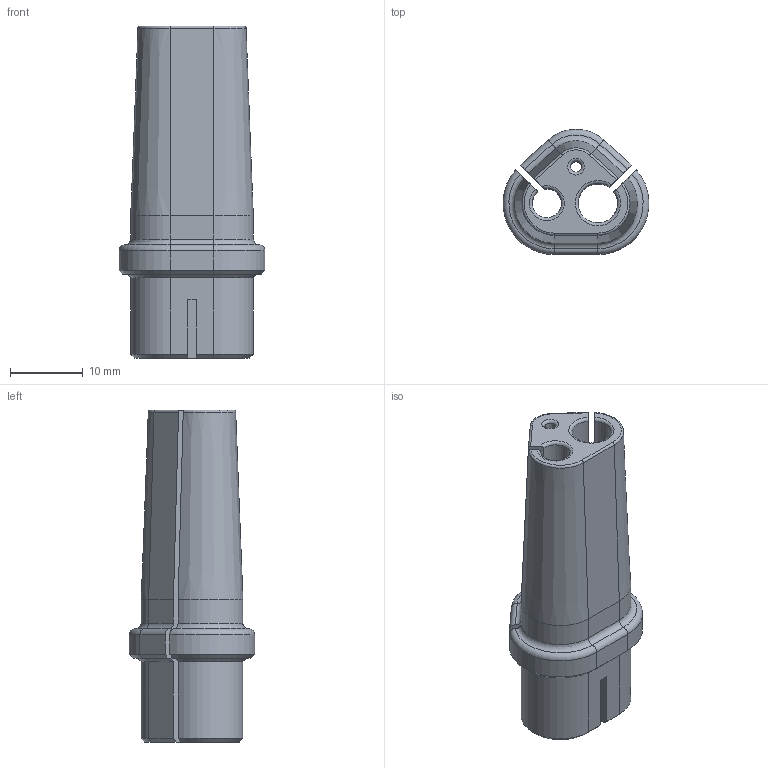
import cadquery as cq
import math

TOTAL_HEIGHT = 45.5
FLANGE_BOTTOM = 11.5
FLANGE_TOP = 15.5
TAPER_START = 19.5

LOW_CENTER_X = 3.0
APEX_CENTER_Y = 4.5
BODY_LOW_RADIUS = 5.4
FLANGE_OVERHANG = 1.6
FLANGE_LENGTH_Y = 17.18
FLANGE_LOW_RADIUS = BODY_LOW_RADIUS + FLANGE_OVERHANG
BODY_APEX_RADIUS = FLANGE_LENGTH_Y - FLANGE_LOW_RADIUS - APEX_CENTER_Y - FLANGE_OVERHANG
TAPER_INSET = 1.0

BASE_CHAMFER = 0.5
FLANGE_CHAMFER = 0.5
LOWER_ROOT_CHAMFER = 0.5
FLANGE_FILLET = 0.8
UPPER_ROOT_FILLET = FLANGE_OVERHANG - FLANGE_FILLET
TOP_FILLET = 0.3
HOLE_FILLET = 0.4

SMALL_BORE = (-4.0, 0.0, 4.0)
LARGE_BORE = (LOW_CENTER_X, 0.0, 5.4)
PIN_HOLE = (0.0, 5.0, 1.5)

SLIT_WIDTH = 0.9
SLIT_ANGLE = 45.0
SLIT_LENGTH = 12.0
KEYWAY_WIDTH = 1.2
KEYWAY_HEIGHT = 8.0
KEYWAY_DEPTH = 1.5

CENTER_DISTANCE = math.hypot(LOW_CENTER_X, APEX_CENTER_Y)
FLANK_NORMAL = math.atan2(LOW_CENTER_X, APEX_CENTER_Y) + math.asin(
    (BODY_LOW_RADIUS - BODY_APEX_RADIUS) / CENTER_DISTANCE
)


def outline(z, offset=0.0):
    """Closed body outline at height z, grown outward by offset."""
    low_radius = BODY_LOW_RADIUS + offset
    apex_radius = BODY_APEX_RADIUS + offset
    normal_x = math.cos(FLANK_NORMAL)
    normal_y = math.sin(FLANK_NORMAL)
    low_x = LOW_CENTER_X + low_radius * normal_x
    low_y = low_radius * normal_y
    apex_x = apex_radius * normal_x
    apex_y = APEX_CENTER_Y + apex_radius * normal_y
    side_x = LOW_CENTER_X + low_radius
    return (
        cq.Workplane("XY", origin=(0, 0, z))
        .moveTo(-LOW_CENTER_X, -low_radius)
        .lineTo(LOW_CENTER_X, -low_radius)
        .threePointArc((side_x, 0), (low_x, low_y))
        .lineTo(apex_x, apex_y)
        .threePointArc((0, APEX_CENTER_Y + apex_radius), (-apex_x, apex_y))
        .lineTo(-low_x, low_y)
        .threePointArc((-side_x, 0), (-LOW_CENTER_X, -low_radius))
        .close()
    )


def frustum(z_start, z_end, offset_start, offset_end):
    """Solid between two outlines of different offset."""
    start = outline(z_start, offset_start).wires().val()
    end = outline(z_end, offset_end).wires().val()
    return cq.Workplane(cq.Solid.makeLoft([start, end], True))


def make_body():
    """Chamfered foot, straight shank and tapered upper length."""
    foot = frustum(0, BASE_CHAMFER, -BASE_CHAMFER, 0)
    shank = outline(BASE_CHAMFER).extrude(TAPER_START - BASE_CHAMFER)
    taper = frustum(TAPER_START, TOTAL_HEIGHT, 0, -TAPER_INSET)
    taper = taper.faces(">Z").edges().fillet(TOP_FILLET)
    return foot.union(shank).union(taper)


def make_flange():
    """Collar around the shank, rounded above and chamfered below."""
    collar = outline(FLANGE_BOTTOM, FLANGE_OVERHANG).extrude(FLANGE_TOP - FLANGE_BOTTOM)
    collar = collar.faces(">Z").edges().fillet(FLANGE_FILLET)
    return collar.faces("<Z").edges().chamfer(FLANGE_CHAMFER)


def make_upper_root():
    """Concave fillet that runs from the shank into the rounded top of the flange."""
    plate = outline(FLANGE_BOTTOM, FLANGE_OVERHANG).extrude(FLANGE_TOP - FLANGE_BOTTOM)
    stepped = plate.union(outline(FLANGE_TOP).extrude(TAPER_START - FLANGE_TOP))
    shelf_point = (0, -FLANGE_LOW_RADIUS, FLANGE_TOP)
    shelf = stepped.faces("|Z").faces(cq.selectors.NearestToPointSelector(shelf_point)).val()
    junction = shelf.innerWires()[0].Edges()
    filleted = stepped.newObject(junction).fillet(UPPER_ROOT_FILLET)
    column_base = FLANGE_TOP - FLANGE_FILLET
    column = outline(column_base, UPPER_ROOT_FILLET).extrude(TAPER_START - column_base)
    return filleted.intersect(column)


def make_lower_root():
    """Sloped transition from the shank up to the underside of the flange."""
    return frustum(FLANGE_BOTTOM - LOWER_ROOT_CHAMFER, FLANGE_BOTTOM, 0, LOWER_ROOT_CHAMFER)


def add_holes(solid):
    """Drill the lengthwise holes and round their upper mouths."""
    for x, y, diameter in (SMALL_BORE, LARGE_BORE, PIN_HOLE):
        drill = cq.Workplane("XY").center(x, y).circle(diameter / 2).extrude(TOTAL_HEIGHT)
        solid = solid.cut(drill)
    top_face = solid.faces(">Z").val()
    mouths = [edge for wire in top_face.innerWires() for edge in wire.Edges()]
    return solid.newObject(mouths).fillet(HOLE_FILLET)


def make_slit(side):
    """Full-height slit running outward from a low centre; side is -1 or +1."""
    return (
        cq.Workplane("XY")
        .box(SLIT_LENGTH, SLIT_WIDTH, TOTAL_HEIGHT, centered=(False, True, False))
        .rotate((0, 0, 0), (0, 0, 1), 90 - side * (90 - SLIT_ANGLE))
        .translate((side * LOW_CENTER_X, 0, 0))
    )


def make_keyway():
    """Short groove up the flat front of the foot."""
    return (
        cq.Workplane("XY")
        .box(KEYWAY_WIDTH, 2 * KEYWAY_DEPTH, KEYWAY_HEIGHT, centered=(True, True, False))
        .translate((0, -BODY_LOW_RADIUS, 0))
    )


part = make_body().union(make_flange()).union(make_upper_root()).union(make_lower_root())
part = add_holes(part)
for side in (-1, 1):
    part = part.cut(make_slit(side))
result = part.cut(make_keyway())